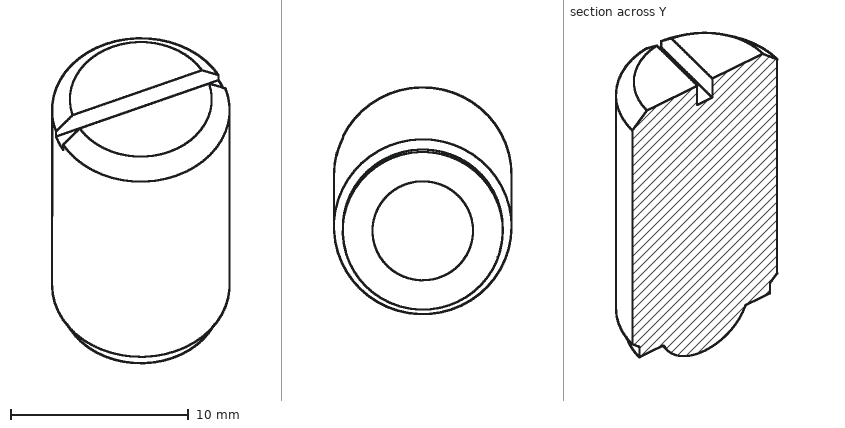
import cadquery as cq

total_height = 21.0
body_diameter = 10.0
collar_diameter = 9.0
ball_diameter = 6.0
top_chamfer = 1.0
slot_width = 1.0
slot_depth = 1.5
ball_projection = 2.0
collar_height = 0.8

body_radius = body_diameter / 2
collar_radius = collar_diameter / 2
ball_radius = ball_diameter / 2
collar_top = ball_projection + collar_height
body_bottom = collar_top + (body_radius - collar_radius)


def make_body():
    """Revolve the collar, lower taper, cylinder and top chamfer about Z."""
    return (
        cq.Workplane("XZ")
        .moveTo(0, ball_projection)
        .lineTo(collar_radius, ball_projection)
        .lineTo(collar_radius, collar_top)
        .lineTo(body_radius, body_bottom)
        .lineTo(body_radius, total_height - top_chamfer)
        .lineTo(body_radius - top_chamfer, total_height)
        .lineTo(0, total_height)
        .close()
        .revolve(360, (0, 0, 0), (0, 1, 0))
    )


def make_ball():
    """Ball partly sunk into the collar."""
    return cq.Workplane("XY").sphere(ball_radius).translate((0, 0, ball_radius))


def make_slot():
    """Screwdriver slot running along Y across the whole top."""
    return (
        cq.Workplane("XY")
        .workplane(offset=total_height - slot_depth)
        .rect(slot_width, body_diameter)
        .extrude(slot_depth)
    )


result = make_body().union(make_ball()).cut(make_slot())